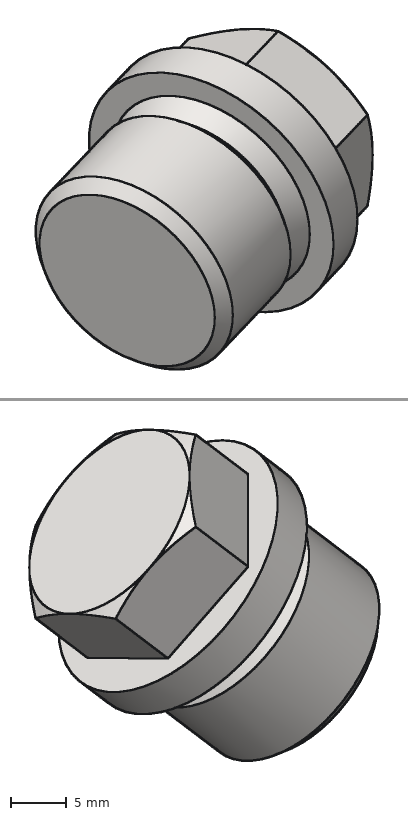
import cadquery as cq
import math

total_length = 26.0
head_length = 8.0
flange_thickness = 4.0

flange_diameter = 26.0
shank_diameter = 20.95
across_flats = 19.0

shank_chamfer = 1.17
relief_depth = shank_chamfer
relief_slope_length = relief_depth * math.tan(math.radians(60))
head_chamfer_angle = 30.0

shank_end = -total_length / 2
head_end = total_length / 2
flange_back = head_end - head_length
flange_front = flange_back - flange_thickness
relief_bottom = flange_front - relief_slope_length
relief_end = relief_bottom - relief_depth


def revolve_about_y(points):
    """Turn a closed (radius, y) outline around the Y axis."""
    return cq.Workplane("XY").polyline(points).close().revolve(360, (0, 0, 0), (0, 1, 0))


def make_turned_body():
    """Flange and shank, with the end chamfer and the relief groove."""
    flange_radius = flange_diameter / 2
    shank_radius = shank_diameter / 2
    return revolve_about_y([
        (0, shank_end),
        (shank_radius - shank_chamfer, shank_end),
        (shank_radius, shank_end + shank_chamfer),
        (shank_radius, relief_end),
        (shank_radius - relief_depth, relief_bottom),
        (shank_radius, flange_front),
        (flange_radius, flange_front),
        (flange_radius, flange_back),
        (0, flange_back),
    ])


def make_hex_head():
    """Hexagon with flats facing +X and -X, its corners chamfered by a cone."""
    across_corners = across_flats / math.cos(math.radians(30))
    head = (
        cq.Workplane("XZ", origin=(0, head_end, 0))
        .transformed(rotate=(0, 0, 90))
        .polygon(6, across_corners)
        .extrude(head_length)
    )
    end_radius = across_flats / 2
    envelope_radius = flange_diameter / 2
    cone_length = (envelope_radius - end_radius) * math.tan(math.radians(head_chamfer_angle))
    envelope = revolve_about_y([
        (0, flange_back),
        (envelope_radius, flange_back),
        (envelope_radius, head_end - cone_length),
        (end_radius, head_end),
        (0, head_end),
    ])
    return head.intersect(envelope)


result = make_turned_body().union(make_hex_head())